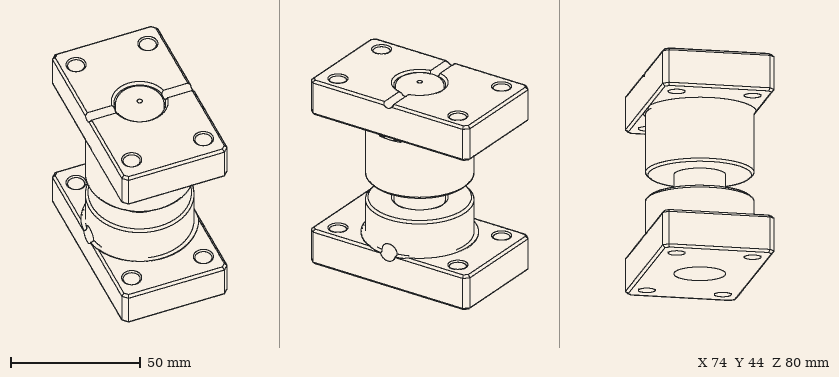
import cadquery as cq

PIN_DIAMETER = 20.0
PIN_LENGTH = 80.0
PIN_TIP_DIAMETER = 18.8
PIN_TIP_LENGTH = 4.0
PIN_TIP_FILLET = 1.9
CENTRE_DIAMETER = 2.0
CENTRE_DEPTH = 1.8

BOSS_DIAMETER = 42.0
BOSS_RADIUS = BOSS_DIAMETER / 2
LOWER_BOSS_TOP = 30.0
BOSS_GAP = 9.6
BOSS_ROOT_FILLET = 1.0

PLATE_LENGTH = 74.0
PLATE_WIDTH = 44.0
PLATE_THICKNESS = LOWER_BOSS_TOP / 2
CORNER_CHAMFER = 2.0
EDGE_CHAMFER = CORNER_CHAMFER / 2

SCREW_PITCH_X = 56.0
SCREW_PITCH_Y = 30.0
SCREW_HOLE_DIAMETER = 6.6
SCREW_HOLE_MOUTH = 7.8
COUNTERSINK_ANGLE = 90

RELIEF_WIDTH = 1.8

CROSS_HOLE_DIAMETER = 7.0
VENT_DIAMETER = 4.4

PIN_PROTRUSION = 0.3
UPPER_PLATE_TOP = PIN_LENGTH - PIN_PROTRUSION
UPPER_PLATE_BOTTOM = UPPER_PLATE_TOP - PLATE_THICKNESS
UPPER_BOSS_BOTTOM = LOWER_BOSS_TOP + BOSS_GAP

FRONT = -PLATE_WIDTH / 2
BACK = PLATE_WIDTH / 2


def vertical_cylinder(diameter, bottom, top):
    return cq.Workplane("XY", origin=(0, 0, bottom)).circle(diameter / 2).extrude(top - bottom)


def cross_cylinder(diameter, height, front, back):
    """Cylinder along Y, centred at the given height."""
    return cq.Workplane("XZ", origin=(0, back, height)).circle(diameter / 2).extrude(back - front)


def revolve_about_pin(profile):
    return profile.close().revolve(360, (0, 0, 0), (0, 1, 0))


def make_plate(bottom):
    """Chamfered plate with a countersunk screw hole in each corner."""
    block = (
        cq.Workplane("XY", origin=(0, 0, bottom))
        .rect(PLATE_LENGTH, PLATE_WIDTH)
        .extrude(PLATE_THICKNESS)
        .edges("|Z")
        .chamfer(CORNER_CHAMFER)
        .faces("<Z or >Z")
        .edges()
        .chamfer(EDGE_CHAMFER)
    )
    return (
        block.faces(">Z")
        .workplane(centerOption="CenterOfBoundBox")
        .rect(SCREW_PITCH_X, SCREW_PITCH_Y, forConstruction=True)
        .vertices()
        .cskHole(SCREW_HOLE_DIAMETER, SCREW_HOLE_MOUTH, COUNTERSINK_ANGLE)
    )


def make_root_fillet():
    """Fillet ring under the upper plate, ending at the chamfers of the plate's long edges."""
    fillet_foot = UPPER_PLATE_BOTTOM - BOSS_ROOT_FILLET
    profile = (
        cq.Workplane("XZ")
        .moveTo(PIN_DIAMETER / 2, UPPER_PLATE_BOTTOM)
        .lineTo(BOSS_RADIUS + BOSS_ROOT_FILLET, UPPER_PLATE_BOTTOM)
        .radiusArc((BOSS_RADIUS, fillet_foot), -BOSS_ROOT_FILLET)
        .lineTo(PIN_DIAMETER / 2, fillet_foot)
    )
    flat_underside = (
        cq.Workplane("XY", origin=(0, 0, fillet_foot))
        .rect(PLATE_LENGTH, PLATE_WIDTH - 2 * EDGE_CHAMFER)
        .extrude(BOSS_ROOT_FILLET)
    )
    return revolve_about_pin(profile).intersect(flat_underside)


def make_relief_groove():
    """Cutter for the half-round groove in the lower plate, touching the boss."""
    groove_radius = RELIEF_WIDTH / 2
    plate_top = cq.Vector(0, 0, PLATE_THICKNESS)
    ring = cq.Solid.makeTorus(BOSS_RADIUS + groove_radius, groove_radius, plate_top)
    return cq.Workplane(ring)


def make_pin_hole_mouth(top):
    """Cutter for the chamfer at the upper end of a pin hole."""
    hole_radius = PIN_DIAMETER / 2
    profile = (
        cq.Workplane("XZ")
        .moveTo(0, top)
        .lineTo(hole_radius + EDGE_CHAMFER, top)
        .lineTo(hole_radius, top - EDGE_CHAMFER)
        .lineTo(0, top - EDGE_CHAMFER)
    )
    return revolve_about_pin(profile)


def make_lower_body():
    boss = vertical_cylinder(BOSS_DIAMETER, 0, LOWER_BOSS_TOP).faces(">Z").chamfer(EDGE_CHAMFER)
    pin_hole = vertical_cylinder(PIN_DIAMETER, 0, LOWER_BOSS_TOP)
    cross_hole = cross_cylinder(CROSS_HOLE_DIAMETER, PLATE_THICKNESS, FRONT, 0)
    body = make_plate(0).cut(make_relief_groove()).union(boss)
    return body.cut(pin_hole).cut(make_pin_hole_mouth(LOWER_BOSS_TOP)).cut(cross_hole)


def make_upper_body():
    boss = (
        vertical_cylinder(BOSS_DIAMETER, UPPER_BOSS_BOTTOM, UPPER_PLATE_TOP)
        .faces("<Z")
        .chamfer(EDGE_CHAMFER)
    )
    pin_hole = vertical_cylinder(PIN_DIAMETER, UPPER_BOSS_BOTTOM, UPPER_PLATE_TOP)
    vent = cross_cylinder(VENT_DIAMETER, PIN_LENGTH, FRONT, BACK)
    body = make_plate(UPPER_PLATE_BOTTOM).union(boss).union(make_root_fillet())
    return body.cut(pin_hole).cut(make_pin_hole_mouth(UPPER_PLATE_TOP)).cut(vent)


def make_pin():
    """Pin with a narrower rounded tip and a centre mark in its top."""
    shank = vertical_cylinder(PIN_DIAMETER, 0, PIN_LENGTH - PIN_TIP_LENGTH)
    tip = (
        vertical_cylinder(PIN_TIP_DIAMETER, PIN_LENGTH - PIN_TIP_LENGTH, PIN_LENGTH)
        .faces(">Z")
        .edges()
        .fillet(PIN_TIP_FILLET)
    )
    centre_mark = revolve_about_pin(
        cq.Workplane("XZ")
        .moveTo(0, PIN_LENGTH)
        .lineTo(CENTRE_DIAMETER / 2, PIN_LENGTH)
        .lineTo(0, PIN_LENGTH - CENTRE_DEPTH)
    )
    return shank.union(tip).cut(centre_mark)


lower_body = make_lower_body()
upper_body = make_upper_body()
pin = make_pin()

result = cq.Compound.makeCompound([lower_body.val(), upper_body.val(), pin.val()])